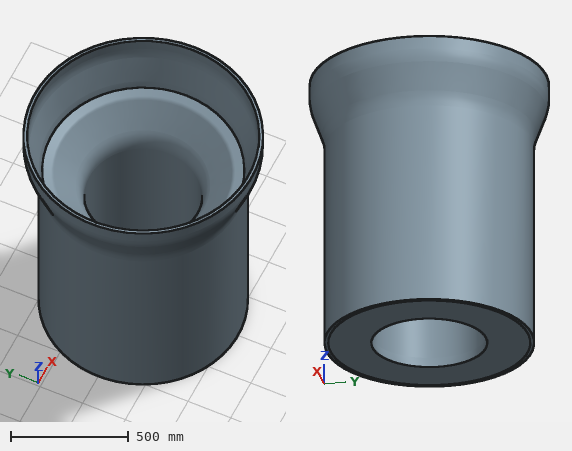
import cadquery as cq
import math

HEIGHT = 1200.0

SOCKET_RADIUS = 1018.0 / 2
TUBE_RADIUS = 890.0 / 2
SHELL_WALL = 16.2
RIM_HEIGHT = 60.0
FLARE_ANGLE = math.radians(20.0)
UPPER_BEND_INNER_RADIUS = 144.0
LOWER_BEND_OUTER_RADIUS = 190.0

LINING_RADIUS = TUBE_RADIUS - SHELL_WALL
LINING_TOP_Z = HEIGHT - 253.0
LEDGE_INNER_RADIUS = 391.0
LEDGE_ANGLE = math.radians(17.0)
FUNNEL_ANGLE = math.radians(45.0)
LEDGE_BLEND_RADIUS = 31.0
THROAT_BLEND_RADIUS = 120.0
BORE_RADIUS = 500.0 / 2
BORE_BASE_RADIUS = 492.0 / 2
BASE_TAPER_HEIGHT = 43.0


def arc_point(center, radius, angle):
    """Point at an angle on a circle in the radius-height plane."""
    return center[0] + radius * math.cos(angle), center[1] + radius * math.sin(angle)


def shell_bends():
    """Centres of the upper and lower bends, shared by both faces of the wall."""
    upper_radius = UPPER_BEND_INNER_RADIUS + SHELL_WALL
    lower_radius = LOWER_BEND_OUTER_RADIUS
    radius_sum = upper_radius + lower_radius
    cone_step = SOCKET_RADIUS - TUBE_RADIUS - radius_sum * (1 - math.cos(FLARE_ANGLE))
    cone_height = cone_step / math.tan(FLARE_ANGLE)
    upper_z = HEIGHT - RIM_HEIGHT
    lower_z = upper_z - radius_sum * math.sin(FLARE_ANGLE) - cone_height
    return (SOCKET_RADIUS - upper_radius, upper_z), (TUBE_RADIUS + lower_radius, lower_z)


def shell_solid(inset):
    """Solid of revolution inside the shell's outer face moved inward by inset."""
    upper_center, lower_center = shell_bends()
    upper_radius = UPPER_BEND_INNER_RADIUS + SHELL_WALL - inset
    lower_radius = LOWER_BEND_OUTER_RADIUS + inset
    return (
        cq.Workplane("XZ")
        .lineTo(TUBE_RADIUS - inset, 0)
        .lineTo(*arc_point(lower_center, lower_radius, math.pi))
        .threePointArc(
            arc_point(lower_center, lower_radius, math.pi - FLARE_ANGLE / 2),
            arc_point(lower_center, lower_radius, math.pi - FLARE_ANGLE),
        )
        .lineTo(*arc_point(upper_center, upper_radius, -FLARE_ANGLE))
        .threePointArc(
            arc_point(upper_center, upper_radius, -FLARE_ANGLE / 2),
            arc_point(upper_center, upper_radius, 0),
        )
        .lineTo(SOCKET_RADIUS - inset, HEIGHT)
        .lineTo(0, HEIGHT)
        .close()
        .revolve(360, (0, 0, 0), (0, 1, 0))
    )


def make_shell():
    """Flared shell of even wall thickness, open at both ends."""
    return shell_solid(0).cut(shell_solid(SHELL_WALL)).solids()


def make_lining():
    """Lining with a sloped ledge, a conical funnel and a bore that narrows slightly at its base."""
    ledge_drop = (LINING_RADIUS - LEDGE_INNER_RADIUS) * math.tan(LEDGE_ANGLE)
    ledge_end = (LEDGE_INNER_RADIUS, LINING_TOP_Z - ledge_drop)

    ledge_normal = math.pi / 2 + LEDGE_ANGLE
    funnel_normal = math.pi / 2 + FUNNEL_ANGLE
    blend_center = arc_point(ledge_end, -LEDGE_BLEND_RADIUS, ledge_normal)
    funnel_start = arc_point(blend_center, LEDGE_BLEND_RADIUS, funnel_normal)

    throat_center_radius = BORE_RADIUS + THROAT_BLEND_RADIUS
    funnel_end_radius = throat_center_radius + THROAT_BLEND_RADIUS * math.cos(funnel_normal)
    funnel_drop = (funnel_start[0] - funnel_end_radius) * math.tan(FUNNEL_ANGLE)
    funnel_end = (funnel_end_radius, funnel_start[1] - funnel_drop)
    throat_center = arc_point(funnel_end, -THROAT_BLEND_RADIUS, funnel_normal)

    return (
        cq.Workplane("XZ")
        .moveTo(BORE_BASE_RADIUS, 0)
        .lineTo(LINING_RADIUS, 0)
        .lineTo(LINING_RADIUS, LINING_TOP_Z)
        .lineTo(*ledge_end)
        .threePointArc(
            arc_point(blend_center, LEDGE_BLEND_RADIUS, (ledge_normal + funnel_normal) / 2),
            funnel_start,
        )
        .lineTo(*funnel_end)
        .threePointArc(
            arc_point(throat_center, THROAT_BLEND_RADIUS, (funnel_normal + math.pi) / 2),
            arc_point(throat_center, THROAT_BLEND_RADIUS, math.pi),
        )
        .lineTo(BORE_RADIUS, BASE_TAPER_HEIGHT)
        .close()
        .revolve(360, (0, 0, 0), (0, 1, 0))
    )


shell = make_shell()
lining = make_lining()

result = cq.Compound.makeCompound([shell.val(), lining.val()])